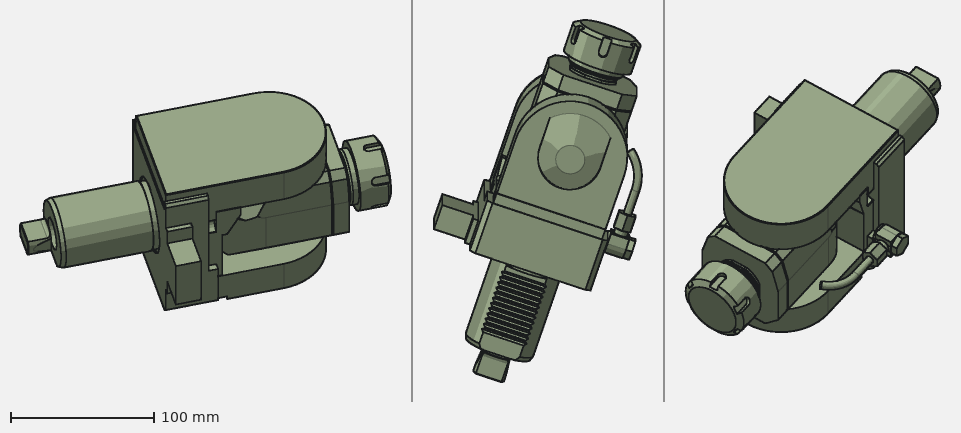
import cadquery as cq
import math


flange_half_width = 44.5
flange_top = 53.0
flange_bottom = -55.0
flange_depth = 31.0
flange_lower_depth = 37.7
flange_top_chamfer = 2.0
flange_bottom_chamfer = 4.0
seat_ring_radius = 27.3
seat_ring_depth = 1.3

lug_pad_end = 48.0
lug_pad_half_height = 31.0
lug_end = 71.0
lug_half_height = 19.2
lug_thickness = 18.2

swivel_y = 86.3
arm_radius = 80.0 / 2
arm_gap_top = 32.5
arm_gap_bottom = -32.2
cover_seat = 45.5
cover_top = 59.5
cover_front = 1.0
cover_edge_chamfer = 0.5
lower_arm_bottom = -54.0
lower_plate_bottom = -56.7
lower_plate_front = 45.5

wall_half_width = 39.5
wall_back = 42.0
wall_bevel_start = 7.8
wall_bevel_end = 24.7
wall_far_back_low = 45.5
wall_top_back = 46.8
wall_far_top_back = 55.4
scallop_diameter = 12.2
scallop_z = 18.7

cap_half_width = 22.4
cap_bottom = -63.5
cap_tip_radius = 10.1
cap_base_radius = 31.5

head_half_width = 32.5
head_end = 135.7
head_round_y = 75.5
head_shoulder_x = 27.5
head_shoulder_z = 27.3
head_flat_half_width = 21.5
head_side_top = 9.5
head_side_bottom = -21.0
head_groove_y = 123.7
head_groove_width = 1.0
head_groove_depth = 0.3
relief_bottom = 7.0
relief_top_radius = 25.2
relief_bottom_radius = 38.5

nut_end = 169.2
nut_start = 146.0
nut_radius = 50.0 / 2
nut_face_radius = 20.3
nut_bevel_length = 2.9
nut_slot_count = 6
nut_slot_width = 6.2
nut_slot_depth = 3.0
nut_slot_bottom = 155.0
collar_radius = 40.0 / 2
collar_start = 142.0
collar_bevel_start = 140.4
collar_bevel_radius = 18.7
nose_radius = 18.0
nose_flat_distance = 17.0
nose_groove_start = 137.5
nose_groove_width = 1.8

shank_radius = 50.0 / 2
shank_length = 70.2
shank_neck_radius = 48.5 / 2
shank_neck_length = 3.6
shank_end_chamfer = 1.3
shank_end_chamfer_length = 3.5
shank_bore_depth = 26.0
rack_flat_z = -20.0
rack_flat_start = 8.0
tooth_count = 12
tooth_pitch = 4.0
tooth_depth = 1.3
tooth_gap_width = 3.0
first_tooth_gap = 13.8

drive_radius = 23.0 / 2
tang_start = 73.5
tang_end = 90.7
tang_half_thickness = 6.5
tang_fillet = 2.5
tang_rim = 0.3
tang_root_half_width = 10.0
tang_widest = 87.0
tang_edge_chamfer = 0.5

fitting_y = 31.0
fitting_z = -20.0
fitting_end = -64.7
fitting_hex_length = 4.7
fitting_body_radius = 8.0
fitting_body_base = -46.5
fitting_neck_radius = 14.5 / 2
elbow_back = 38.5
pipe_x = -53.3
pipe_neck_radius = 10.0 / 2
pipe_nut_start = 42.4
pipe_nut_end = 54.0
pipe_nut_corner_radius = 7.0
pipe_radius = 2.9
pipe_bend_start = 71.7
pipe_end = (-41.0, 96.2, -15.5)


def box(x0, x1, y0, y1, z0, z1):
    """Box between two opposite corners."""
    return cq.Workplane("XY").box(x1 - x0, y1 - y0, z1 - z0, centered=False).translate((x0, y0, z0))


def ring_about_y(points):
    """Solid of revolution about the Y axis from (radius, y) points."""
    return cq.Workplane("XY").polyline(points).close().revolve(360, (0, 0, 0), (0, 1, 0))


def rod_along_y(radius, y0, y1):
    return cq.Workplane("XZ", origin=(0, y0, 0)).circle(radius).extrude(y0 - y1)


def rounded_slab(half_width, y0, y1, z0, z1):
    """Slab from y0 whose far end, at y1, is round with a radius of half_width."""
    turn = math.copysign(half_width, y1 - y0)
    return (
        cq.Workplane("XY", origin=(0, 0, z0))
        .moveTo(-half_width, y0)
        .lineTo(-half_width, y1 - turn)
        .threePointArc((0, y1), (half_width, y1 - turn))
        .lineTo(half_width, y0)
        .close()
        .extrude(z1 - z0)
    )


def make_flange():
    upper = box(-flange_half_width, flange_half_width, 0, flange_depth, flange_bottom, flange_top)
    lower = box(-flange_half_width, flange_half_width, 0, flange_lower_depth, flange_bottom, fitting_z)
    flange = upper.union(lower)
    flange = flange.edges("|Y and >Z").chamfer(flange_top_chamfer)
    flange = flange.edges("|Y and <Z").chamfer(flange_bottom_chamfer)
    cover_slot = box(-arm_radius, arm_radius, 0, flange_depth, cover_seat, flange_top)
    seat_ring = rod_along_y(seat_ring_radius, 0, seat_ring_depth)
    return flange.cut(cover_slot).cut(seat_ring)


def make_lug():
    pad = box(seat_ring_radius, lug_pad_end, 0, lug_thickness, -lug_pad_half_height, lug_pad_half_height)
    return pad.union(box(lug_pad_end, lug_end, 0, lug_thickness, -lug_half_height, lug_half_height))


def make_fork():
    arm_end = swivel_y + arm_radius
    upper_arm = rounded_slab(arm_radius, flange_depth, arm_end, arm_gap_top, cover_seat)
    cover = rounded_slab(arm_radius, cover_front, arm_end, cover_seat, cover_top)
    cover = cover.faces(">Z").edges().chamfer(cover_edge_chamfer)
    lower_arm = rounded_slab(arm_radius, flange_depth, arm_end, lower_arm_bottom, arm_gap_bottom)
    lower_plate = rounded_slab(arm_radius, lower_plate_front, arm_end, lower_plate_bottom, lower_arm_bottom)
    return upper_arm.union(cover).union(lower_arm).union(lower_plate)


def make_wall():
    """Wall behind the flange; its upper part leans back, more so towards +X."""
    web_step = scallop_z - scallop_diameter / 2
    web = box(-arm_radius, arm_radius, flange_depth, flange_lower_depth, web_step, arm_gap_top)
    for side in (-1, 1):
        scallop = rod_along_y(scallop_diameter / 2, flange_depth, flange_lower_depth)
        web = web.cut(scallop.translate((side * arm_radius, 0, scallop_z)))
    lower_web = box(-wall_half_width, wall_half_width, flange_depth, flange_lower_depth, arm_gap_bottom, web_step)
    base = box(-wall_half_width, wall_half_width, flange_lower_depth, wall_back, arm_gap_bottom, wall_bevel_start)

    def section(near_back, far_back):
        return [
            (-wall_half_width, flange_lower_depth),
            (wall_half_width, flange_lower_depth),
            (wall_half_width, far_back),
            (-wall_half_width, near_back),
        ]

    top_section = section(wall_top_back, wall_far_top_back)
    bevel = (
        cq.Workplane("XY", origin=(0, 0, wall_bevel_start))
        .polyline(section(wall_back, wall_far_back_low))
        .close()
        .workplane(offset=wall_bevel_end - wall_bevel_start)
        .polyline(top_section)
        .close()
        .loft(ruled=True)
    )
    top = (
        cq.Workplane("XY", origin=(0, 0, wall_bevel_end))
        .polyline(top_section)
        .close()
        .extrude(arm_gap_top - wall_bevel_end)
    )
    return web.union(lower_web).union(base).union(bevel).union(top)


def make_cap():
    """Flat cone about the swivel axis, trimmed to a slab that is round towards -Y."""
    cone = (
        cq.Workplane("XZ")
        .polyline(
            [
                (0, lower_plate_bottom),
                (cap_base_radius, lower_plate_bottom),
                (cap_tip_radius, cap_bottom),
                (0, cap_bottom),
            ]
        )
        .close()
        .revolve(360, (0, 0, 0), (0, 1, 0))
        .translate((0, swivel_y, 0))
    )
    trim = rounded_slab(
        cap_half_width, swivel_y + cap_base_radius, swivel_y - cap_half_width, cap_bottom, lower_plate_bottom
    )
    return cone.intersect(trim)


def head_section(workplane, inset=0.0):
    """Outline of the head across the Y axis, symmetric about x = 0."""
    right = [
        (head_flat_half_width, arm_gap_top - inset),
        (head_shoulder_x - inset, head_shoulder_z - inset),
        (head_half_width - inset, head_side_top),
        (head_half_width - inset, head_side_bottom),
        (head_flat_half_width, arm_gap_bottom + inset),
    ]
    left = [(-x, z) for x, z in reversed(right)]
    return workplane.polyline(right + left).close()


def make_head():
    tail = head_round_y - head_half_width
    head = head_section(cq.Workplane("XZ", origin=(0, head_end, 0))).extrude(head_end - tail)
    head = head.intersect(
        rounded_slab(head_half_width, head_end, tail, arm_gap_bottom, arm_gap_top)
    )

    groove_end = cq.Workplane("XZ", origin=(0, head_groove_y + head_groove_width / 2, 0))
    groove = head_section(groove_end).extrude(head_groove_width)
    groove = groove.cut(head_section(groove_end, head_groove_depth).extrude(head_groove_width))
    head = head.cut(groove)

    outer_radius = 2 * head_half_width
    relief = (
        cq.Workplane("XZ")
        .polyline(
            [
                (relief_bottom_radius, relief_bottom),
                (outer_radius, relief_bottom),
                (outer_radius, arm_gap_top),
                (relief_top_radius, arm_gap_top),
            ]
        )
        .close()
        .revolve(360, (0, 0, 0), (0, 1, 0))
        .translate((0, swivel_y, 0))
    )
    tail_zone = box(-outer_radius, outer_radius, 0, swivel_y, relief_bottom, arm_gap_top)
    return head.cut(relief.intersect(tail_zone))


def make_spindle_nose():
    flats = box(
        -nose_flat_distance, nose_flat_distance, head_end, collar_bevel_start,
        -nose_flat_distance, nose_flat_distance,
    )
    nose = rod_along_y(nose_radius, head_end, collar_bevel_start).intersect(flats)
    groove_end = nose_groove_start + nose_groove_width
    groove = rod_along_y(nose_radius, nose_groove_start, groove_end)
    groove = groove.cut(rod_along_y(nose_flat_distance, nose_groove_start, groove_end))
    collar = ring_about_y(
        [
            (0, collar_bevel_start),
            (collar_bevel_radius, collar_bevel_start),
            (collar_radius, collar_start),
            (collar_radius, nut_start),
            (0, nut_start),
        ]
    )
    return nose.cut(groove).union(collar)


def make_nut():
    nut = ring_about_y(
        [
            (0, nut_start),
            (nut_radius, nut_start),
            (nut_radius, nut_end - nut_bevel_length),
            (nut_face_radius, nut_end),
            (0, nut_end),
        ]
    )
    slot = rounded_slab(
        nut_slot_width / 2, nut_end, nut_slot_bottom, nut_radius - nut_slot_depth, nut_radius
    )
    for i in range(nut_slot_count):
        nut = nut.cut(slot.rotate((0, 0, 0), (0, 1, 0), i * 360 / nut_slot_count))
    return nut


def make_shank():
    shank = ring_about_y(
        [
            (0, seat_ring_depth),
            (shank_neck_radius, seat_ring_depth),
            (shank_neck_radius, -shank_neck_length),
            (shank_radius, -shank_neck_length),
            (shank_radius, shank_end_chamfer_length - shank_length),
            (shank_radius - shank_end_chamfer, -shank_length),
            (0, -shank_length),
        ]
    )
    rack_cut = box(
        -shank_radius, shank_radius, -shank_length, -rack_flat_start, -shank_radius, rack_flat_z
    )
    shank = shank.cut(rack_cut)
    for i in range(tooth_count):
        y = -first_tooth_gap - i * tooth_pitch
        gap = (
            cq.Workplane("YZ")
            .polyline(
                [
                    (y - tooth_gap_width / 2, rack_flat_z),
                    (y, rack_flat_z + tooth_depth),
                    (y + tooth_gap_width / 2, rack_flat_z),
                ]
            )
            .close()
            .extrude(shank_radius, both=True)
        )
        shank = shank.cut(gap)
    return shank.cut(rod_along_y(drive_radius, -shank_length, shank_bore_depth - shank_length))


def make_fitting():
    """Elbow fitting on the -X side, with the coolant pipe bent towards the head."""
    def along_x(x0, x1, radius):
        return cq.Workplane("YZ", origin=(x0, fitting_y, fitting_z)).circle(radius).extrude(x1 - x0)

    hex_end = fitting_end + fitting_hex_length
    hexagon = (
        cq.Workplane("YZ", origin=(fitting_end, fitting_y, fitting_z))
        .transformed(rotate=(0, 0, 90))
        .polygon(6, 2 * fitting_body_radius)
        .extrude(fitting_hex_length)
    )
    body = along_x(hex_end, fitting_body_base, fitting_body_radius)
    elbow = box(
        hex_end, fitting_body_base, fitting_y, elbow_back,
        fitting_z - fitting_body_radius, fitting_z + fitting_body_radius,
    )
    neck = along_x(fitting_body_base, -flange_half_width, fitting_neck_radius)

    pipe_neck = rod_along_y(pipe_neck_radius, elbow_back, pipe_nut_start).translate((pipe_x, 0, fitting_z))
    pipe_nut = (
        cq.Workplane("XZ", origin=(pipe_x, pipe_nut_start, fitting_z))
        .transformed(rotate=(0, 0, 90))
        .polygon(6, 2 * pipe_nut_corner_radius)
        .extrude(pipe_nut_start - pipe_nut_end)
    )
    path = cq.Workplane(
        cq.Wire.assembleEdges(
            [
                cq.Edge.makeLine(
                    cq.Vector(pipe_x, pipe_nut_end, fitting_z), cq.Vector(pipe_x, pipe_bend_start, fitting_z)
                ),
                cq.Edge.makeTangentArc(
                    cq.Vector(pipe_x, pipe_bend_start, fitting_z), cq.Vector(0, 1, 0), cq.Vector(*pipe_end)
                ),
            ]
        )
    )
    pipe = cq.Workplane("XZ", origin=(pipe_x, pipe_nut_end, fitting_z)).circle(pipe_radius).sweep(path)
    fitting = hexagon.union(body).union(elbow).union(neck)
    return fitting.union(pipe_neck).union(pipe_nut).union(pipe)


def make_housing():
    housing = make_flange()
    parts = [
        make_lug(), make_wall(), make_fork(), make_cap(), make_head(),
        make_spindle_nose(), make_nut(), make_shank(), make_fitting(),
    ]
    for part in parts:
        housing = housing.union(part)
    return housing


def make_drive_tang():
    """Flat tang with a round rim, floating in front of the shank bore."""
    fillet_start = -tang_start - tang_rim
    fillet_end = fillet_start - tang_fillet
    bow = tang_fillet * (1 - math.sqrt(0.5))
    fillet_top = tang_half_thickness + tang_fillet
    profile = (
        cq.Workplane("YZ")
        .moveTo(-tang_start, -drive_radius)
        .lineTo(-tang_start, drive_radius)
        .lineTo(fillet_start, drive_radius)
        .lineTo(fillet_start, fillet_top)
        .threePointArc((fillet_start - bow, tang_half_thickness + bow), (fillet_end, tang_half_thickness))
        .lineTo(-tang_end, tang_half_thickness)
        .lineTo(-tang_end, -tang_half_thickness)
        .lineTo(fillet_end, -tang_half_thickness)
        .threePointArc((fillet_start - bow, -tang_half_thickness - bow), (fillet_start, -fillet_top))
        .lineTo(fillet_start, -drive_radius)
        .close()
        .extrude(drive_radius, both=True)
    )
    round_bar = rod_along_y(drive_radius, -tang_end, -tang_start)
    taper = (
        cq.Workplane("XY")
        .polyline(
            [
                (-tang_root_half_width, -tang_start),
                (tang_root_half_width, -tang_start),
                (drive_radius, -tang_widest),
                (drive_radius, -tang_end),
                (-drive_radius, -tang_end),
                (-drive_radius, -tang_widest),
            ]
        )
        .close()
        .extrude(drive_radius, both=True)
    )
    tang = profile.intersect(round_bar).intersect(taper)
    return tang.faces("<Y").edges().chamfer(tang_edge_chamfer)


housing = make_housing()
drive_tang = make_drive_tang()
result = cq.Compound.makeCompound([housing.val(), drive_tang.val()])